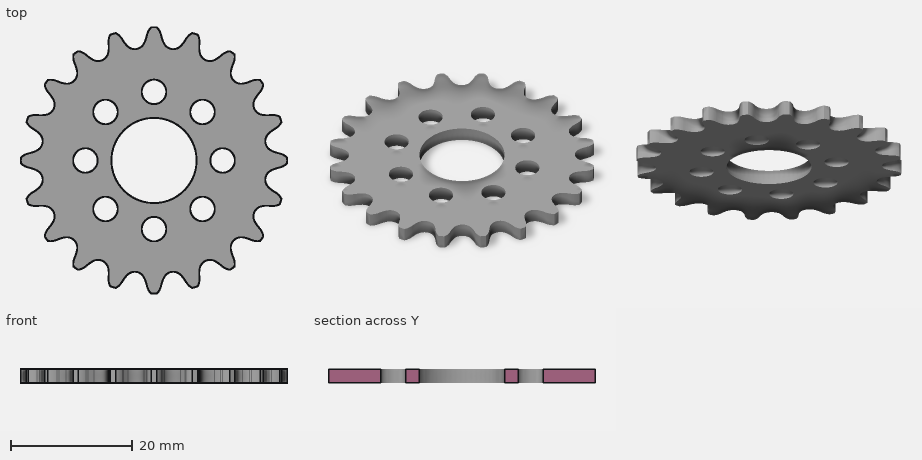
import cadquery as cq
import math

tooth_count = 20
outer_diameter = 43.9
thickness = 2.35
roller_diameter = 3.3
seat_clearance = 0.09

bore_diameter = 14.0
bolt_hole_diameter = 4.0
bolt_circle_diameter = 22.6
bolt_hole_count = 8

half_tooth_angle = math.pi / tooth_count
outer_radius = outer_diameter / 2
tip_allowance = 0.6
chain_pitch = outer_diameter / (tip_allowance + 1 / math.tan(half_tooth_angle))
pitch_radius = chain_pitch / (2 * math.sin(half_tooth_angle))

seat_radius = (roller_diameter + seat_clearance) / 2
working_offset = 0.8 * roller_diameter
topping_offset = 1.4 * roller_diameter
working_radius = seat_radius + working_offset
seat_end_angle = math.radians(35 + 60 / tooth_count)
working_arc_angle = math.radians(18 - 56 / tooth_count)
flank_angle = seat_end_angle - working_arc_angle


def polar(center, radius, angle):
    return (center[0] + radius * math.cos(angle), center[1] + radius * math.sin(angle))


def rotate(point, angle):
    x, y = point
    return (
        x * math.cos(angle) - y * math.sin(angle),
        x * math.sin(angle) + y * math.cos(angle),
    )


def mirror(point):
    return (-point[0], point[1])


def flank_points():
    """Points up the right flank of a tooth gap centred on +Y, from seat to tip.

    The flank is a concave working arc, a short straight and a convex topping arc,
    each tangent to the next. Each arc also gives its mid point.
    """
    seat_center = (0, pitch_radius)
    working_center = polar(seat_center, -working_offset, -seat_end_angle)
    topping_center = polar(seat_center, topping_offset, -half_tooth_angle)

    seat_end = polar(working_center, working_radius, -seat_end_angle)
    working_mid = polar(working_center, working_radius, -(seat_end_angle + flank_angle) / 2)
    working_end = polar(working_center, working_radius, -flank_angle)

    topping_radius = (
        (topping_center[0] - working_end[0]) * math.cos(flank_angle)
        - (topping_center[1] - working_end[1]) * math.sin(flank_angle)
    )
    topping_start_angle = math.pi - flank_angle

    center_distance = math.hypot(*topping_center)
    center_angle = math.atan2(topping_center[1], topping_center[0])
    cos_at_center = (outer_radius**2 - center_distance**2 - topping_radius**2) / (
        2 * center_distance * topping_radius
    )
    topping_end_angle = center_angle + math.acos(cos_at_center)
    topping_mid_angle = (topping_start_angle + topping_end_angle) / 2

    topping_start = polar(topping_center, topping_radius, topping_start_angle)
    topping_mid = polar(topping_center, topping_radius, topping_mid_angle)
    tip = polar(topping_center, topping_radius, topping_end_angle)
    return seat_end, working_mid, working_end, topping_start, topping_mid, tip


def toothed_blank():
    seat_end, working_mid, working_end, topping_start, topping_mid, tip = flank_points()
    seat_bottom = (0, pitch_radius - seat_radius)
    tooth_angle = 2 * half_tooth_angle
    first_gap_angle = half_tooth_angle

    outline = cq.Workplane("XY").moveTo(*rotate(tip, first_gap_angle))
    for index in range(tooth_count):
        angle = first_gap_angle + index * tooth_angle

        def place(point):
            return rotate(point, angle)

        outline = (
            outline.threePointArc(place(topping_mid), place(topping_start))
            .lineTo(*place(working_end))
            .threePointArc(place(working_mid), place(seat_end))
            .threePointArc(place(seat_bottom), place(mirror(seat_end)))
            .threePointArc(place(mirror(working_mid)), place(mirror(working_end)))
            .lineTo(*place(mirror(topping_start)))
            .threePointArc(place(mirror(topping_mid)), place(mirror(tip)))
        )
        tooth_center = rotate((0, outer_radius), angle + half_tooth_angle)
        next_tip = rotate(tip, angle + tooth_angle)
        outline = outline.threePointArc(tooth_center, next_tip)
    return outline.close().extrude(thickness)


def center_bore():
    return cq.Workplane("XY").circle(bore_diameter / 2).extrude(thickness)


def bolt_holes():
    return (
        cq.Workplane("XY")
        .polarArray(bolt_circle_diameter / 2, 0, 360, bolt_hole_count)
        .circle(bolt_hole_diameter / 2)
        .extrude(thickness)
    )


result = toothed_blank().cut(center_bore()).cut(bolt_holes())